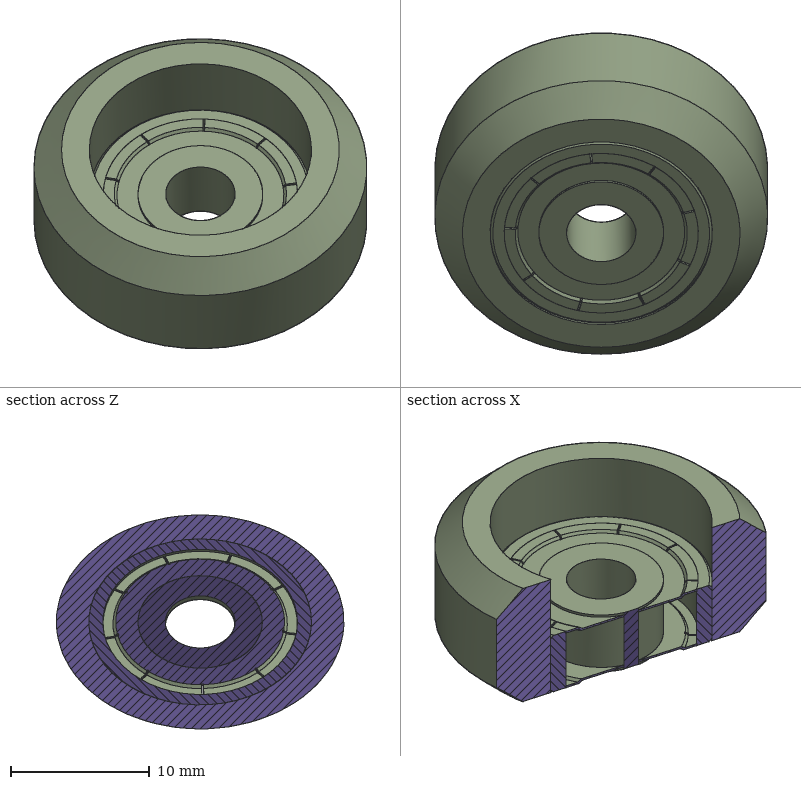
import cadquery as cq
import math

WHEEL_DIAMETER = 24.0
WHEEL_WIDTH = 10.0
WHEEL_CHAMFER = 2.0

BEARING_DIAMETER = 16.0
BEARING_WIDTH = WHEEL_WIDTH / 2
BEARING_CHAMFER = 0.2
BEARING_BOTTOM = -WHEEL_WIDTH / 2
BEARING_MIDDLE = BEARING_BOTTOM + BEARING_WIDTH / 2
OUTER_RING_BORE = 14.0
INNER_RING_DIAMETER = 9.0
SHAFT_BORE = 5.0

SHIELD_THICKNESS = 0.2
SHIELD_DISH_DEPTH = 0.2
DISH_TOP_DIAMETER = 12.4
DISH_SLOPE_ANGLE = 45.0
DISH_BOTTOM_DIAMETER = DISH_TOP_DIAMETER - 2 * SHIELD_DISH_DEPTH / math.tan(math.radians(DISH_SLOPE_ANGLE))
SLIT_COUNT = 9
SLIT_WIDTH = 0.12


def chamfered_disc(diameter, width, chamfer, middle):
    """Disc around Z, centred on the height `middle`, with both end edges chamfered."""
    return (
        cq.Workplane("XY", origin=(0, 0, middle))
        .cylinder(width, diameter / 2)
        .faces("<Z or >Z")
        .edges()
        .chamfer(chamfer)
    )


def make_wheel():
    """Rim with a large chamfer at both ends and a straight through bore."""
    rim = chamfered_disc(WHEEL_DIAMETER, WHEEL_WIDTH, WHEEL_CHAMFER, middle=0)
    bore = cq.Workplane("XY").cylinder(WHEEL_WIDTH, BEARING_DIAMETER / 2)
    return rim.cut(bore)


def make_outer_ring():
    """Bearing outer ring with its two outer edges chamfered."""
    blank = chamfered_disc(BEARING_DIAMETER, BEARING_WIDTH, BEARING_CHAMFER, BEARING_MIDDLE)
    bore = cq.Workplane("XY", origin=(0, 0, BEARING_MIDDLE)).cylinder(BEARING_WIDTH, OUTER_RING_BORE / 2)
    return blank.cut(bore)


def make_inner_ring():
    """Bearing inner ring around the shaft bore."""
    return (
        cq.Workplane("XY", origin=(0, 0, BEARING_BOTTOM))
        .circle(INNER_RING_DIAMETER / 2)
        .circle(SHAFT_BORE / 2)
        .extrude(BEARING_WIDTH)
    )


def make_slit():
    """Cutter for one radial slit, from the foot of the dish outward, with one wall on the XZ plane."""
    slit_corner = (DISH_BOTTOM_DIAMETER / 2, -SLIT_WIDTH, BEARING_MIDDLE)
    cutter_length = OUTER_RING_BORE / 2
    return cq.Workplane("XY", origin=slit_corner).box(cutter_length, SLIT_WIDTH, BEARING_WIDTH, centered=False)


def make_shield():
    """Upper shield: rim flush with the bearing face, sloping down to a flat sunken plate."""
    outer_radius = OUTER_RING_BORE / 2
    inner_radius = INNER_RING_DIAMETER / 2
    dish_top_radius = DISH_TOP_DIAMETER / 2
    dish_bottom_radius = DISH_BOTTOM_DIAMETER / 2
    rim_top = BEARING_BOTTOM + BEARING_WIDTH
    plate_top = rim_top - SHIELD_DISH_DEPTH
    slope_shift = SHIELD_THICKNESS * math.tan(math.radians(DISH_SLOPE_ANGLE / 2))
    shield = (
        cq.Workplane("XZ")
        .moveTo(inner_radius, plate_top)
        .lineTo(dish_bottom_radius, plate_top)
        .lineTo(dish_top_radius, rim_top)
        .lineTo(outer_radius, rim_top)
        .lineTo(outer_radius, rim_top - SHIELD_THICKNESS)
        .lineTo(dish_top_radius + slope_shift, rim_top - SHIELD_THICKNESS)
        .lineTo(dish_bottom_radius + slope_shift, plate_top - SHIELD_THICKNESS)
        .lineTo(inner_radius, plate_top - SHIELD_THICKNESS)
        .close()
        .revolve(360, (0, 0, 0), (0, 1, 0))
    )
    slit = make_slit()
    for index in range(SLIT_COUNT):
        shield = shield.cut(slit.rotate((0, 0, 0), (0, 0, 1), index * 360 / SLIT_COUNT))
    return shield


wheel = make_wheel()
outer_ring = make_outer_ring()
inner_ring = make_inner_ring()
upper_shield = make_shield()
lower_shield = upper_shield.mirror("XY", (0, 0, BEARING_MIDDLE))

result = cq.Compound.makeCompound(
    [
        wheel.val(),
        outer_ring.val(),
        inner_ring.val(),
        upper_shield.val(),
        lower_shield.val(),
    ]
)